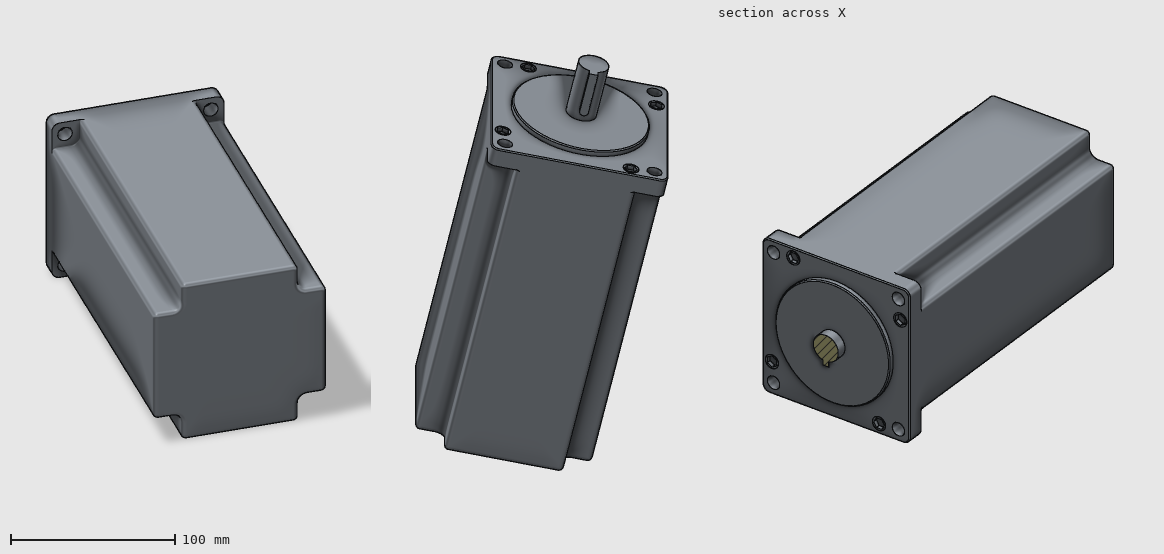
import cadquery as cq
import math

total_length = 256.0
frame_size = 110.0
half_frame = frame_size / 2

shaft_diameter = 19.0
key_width = 5.5
key_length = 30.0
key_drop = 12.8

pilot_front = 35.5
pilot_diameter = 85.5
pilot_chamfer = 0.8
flange_front = 39.5
flange_back = 51.5
flange_corner_radius = 5.0
flange_chamfer = 0.8
flange_root_radius = 1.0

notch_size = 18.0
notch_inner_radius = 6.0
notch_outer_radius = 3.0
rear_edge_radius = 3.0

mount_hole_diameter = 9.2
mount_hole_offset = 46.5
screw_head_diameter = 9.7
screw_head_recess = 0.3
socket_across_flats = 7.0
socket_depth = 3.0
screw_near_offset = 32.0
screw_far_offset = 48.0


def plane_at(x):
    """Plane across the motor axis: local x is Y, local y is Z, normal is +X."""
    return cq.Workplane("YZ", origin=(x, 0, 0))


def make_pilot():
    pilot = plane_at(pilot_front).circle(pilot_diameter / 2).extrude(flange_back - pilot_front)
    return pilot.faces("<X").edges().chamfer(pilot_chamfer)


def make_body():
    """Cross-shaped bar with rounded notch corners, before its rear edge is rounded."""
    length = total_length - flange_front
    arm_width = frame_size - 2 * notch_size
    wide_arm = plane_at(flange_front).rect(frame_size, arm_width).extrude(length)
    tall_arm = plane_at(flange_front).rect(arm_width, frame_size).extrude(length)
    body = wide_arm.union(tall_arm)

    inner_reach = half_frame - notch_size / 2
    inner_corners = cq.selectors.BoxSelector(
        (0, -inner_reach, -inner_reach), (total_length, inner_reach, inner_reach)
    )
    body = body.edges("|X").edges(inner_corners).fillet(notch_inner_radius)
    return body.edges("|X and (<Y or >Y or <Z or >Z)").fillet(notch_outer_radius)


def make_housing():
    """Flange and body, joined by a root fillet that fades out where their sides are flush."""
    plate_size = frame_size + 4 * flange_root_radius
    plate = plane_at(flange_front).rect(plate_size, plate_size).extrude(flange_back - flange_front)
    housing = plate.union(make_body().faces(">X").edges().fillet(rear_edge_radius))

    body_reach = half_frame + flange_root_radius
    root_loop = cq.selectors.BoxSelector(
        (flange_back - flange_root_radius, -body_reach, -body_reach),
        (flange_back + flange_root_radius, body_reach, body_reach),
    )
    housing = housing.edges(root_loop).fillet(flange_root_radius)

    frame = plane_at(flange_front).rect(frame_size, frame_size).extrude(total_length - flange_front)
    housing = housing.intersect(frame.edges("|X").fillet(flange_corner_radius))
    return housing.faces("<X").edges().chamfer(flange_chamfer)


def make_shaft():
    return plane_at(0).circle(shaft_diameter / 2).extrude(flange_back)


def make_key():
    """Key under the shaft, with a full-round inner end."""
    round_center = key_length - key_width / 2
    key = cq.Workplane("XY").workplane(offset=-key_drop)
    key = key.moveTo(0, -key_width / 2).lineTo(round_center, -key_width / 2)
    key = key.threePointArc((key_length, 0), (round_center, key_width / 2))
    return key.lineTo(0, key_width / 2).close().extrude(key_drop)


def make_mount_holes():
    pitch = 2 * mount_hole_offset
    holes = plane_at(flange_front).rect(pitch, pitch, forConstruction=True).vertices()
    return holes.circle(mount_hole_diameter / 2).extrude(flange_back - flange_front)


def make_screw_sockets():
    """Slightly sunk screw heads, each with a hex socket that has a flat facing the nearest side."""
    socket_across_corners = socket_across_flats / math.cos(math.pi / 6)
    head = plane_at(flange_front).circle(screw_head_diameter / 2).extrude(screw_head_recess)
    socket = plane_at(flange_front).polygon(6, socket_across_corners).extrude(socket_depth)
    screw = head.union(socket).translate((0, screw_near_offset, screw_far_offset))
    sockets = cq.Workplane()
    for quarter_turn in range(4):
        sockets = sockets.add(screw.rotate((0, 0, 0), (1, 0, 0), 90 * quarter_turn))
    return sockets.combine()


result = make_housing().union(make_pilot()).union(make_shaft()).union(make_key())
result = result.cut(make_mount_holes()).cut(make_screw_sockets())